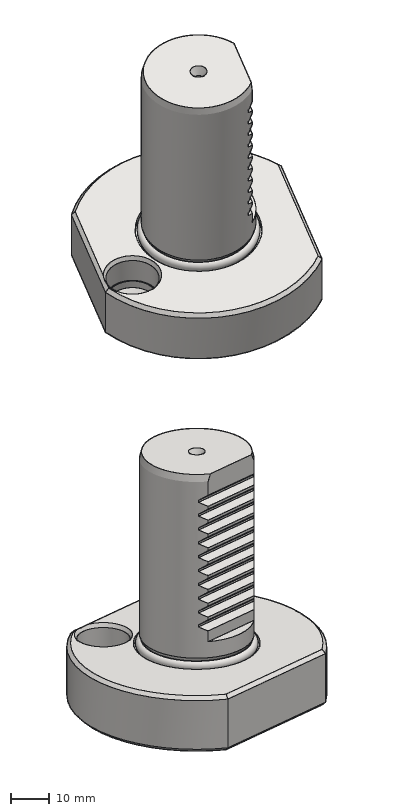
import cadquery as cq
import math

total_height = 71.0

flange_radius = 33.95
flange_height = 16.0
flange_chamfer = 1.0
back_flat_y = 28.05
front_flat_y = -29.95

shank_radius = 15.0
tip_chamfer_height = 2.0
tip_chamfer_width = tip_chamfer_height * math.tan(math.radians(15))
neck_radius = 14.6
neck_top_z = 17.55
shank_base_z = 18.45

groove_radius = 16.55
ring_section_radius = 1.4
groove_depth = ring_section_radius

rack_y = 12.0
rack_base_z = 23.1
notch_count = 10
notch_pitch = 4.0
top_notch_drop = 7.45
notch_depth = 1.6
notch_mouth = 3.2
notch_root = 0.6

pocket_x = 12.4
pocket_y = -21.6
pocket_radius = 6.95
pocket_depth = 8.0
pocket_lead_width = 0.65
pocket_lead_height = 1.15
pocket_end_radius = 6.7
pocket_end_depth = 10.3
pocket_tip_angle = 118

center_radius = 2.2
center_angle = 60
pilot_radius = 0.9
pilot_depth = 2.5
pilot_tip_angle = 118


def cone_depth(large_radius, small_radius, full_angle):
    """Height over which a cone of the given full angle narrows between two radii."""
    return (large_radius - small_radius) / math.tan(math.radians(full_angle / 2))


def revolved(profile):
    """Turn a closed (radius, z) profile about the Z axis."""
    return cq.Workplane("XZ").polyline(profile).close().revolve(360, (0, 0), (0, 1))


def make_flange():
    width_y = back_flat_y - front_flat_y
    flats = cq.Workplane("XY").box(2 * flange_radius, width_y, flange_height, centered=(True, True, False))
    flats = flats.translate((0, (back_flat_y + front_flat_y) / 2, 0))
    disc = cq.Workplane("XY").circle(flange_radius).extrude(flange_height).intersect(flats)
    disc = disc.faces("<Z or >Z").chamfer(flange_chamfer)
    groove = (
        cq.Workplane("XY")
        .workplane(offset=flange_height - groove_depth)
        .circle(groove_radius)
        .extrude(groove_depth)
    )
    return disc.cut(groove)


def make_shank():
    return revolved([
        (0, flange_height - groove_depth),
        (neck_radius, flange_height - groove_depth),
        (neck_radius, neck_top_z),
        (shank_radius, shank_base_z),
        (shank_radius, total_height - tip_chamfer_height),
        (shank_radius - tip_chamfer_width, total_height),
        (0, total_height),
    ])


def make_seal_ring():
    section = cq.Workplane("XZ").center(neck_radius, flange_height).circle(ring_section_radius)
    return section.revolve(360, (-neck_radius, 0), (-neck_radius, 1))


def make_rack_cutter():
    """Everything removed from the shank to leave the flat and its notches."""
    cutter = cq.Workplane("XY").box(
        2 * shank_radius, shank_radius, total_height - rack_base_z, centered=(True, False, False)
    ).translate((0, rack_y, rack_base_z))
    for index in range(notch_count):
        center_z = total_height - top_notch_drop - index * notch_pitch
        notch = (
            cq.Workplane("YZ")
            .polyline([
                (rack_y, center_z - notch_mouth / 2),
                (rack_y - notch_depth, center_z - notch_root / 2),
                (rack_y - notch_depth, center_z + notch_root / 2),
                (rack_y, center_z + notch_mouth / 2),
            ])
            .close()
            .extrude(shank_radius, both=True)
        )
        cutter = cutter.union(notch)
    return cutter


def make_pocket_cutter():
    step_z = flange_height - pocket_depth
    drilled_z = flange_height - pocket_end_depth
    cutter = revolved([
        (0, flange_height),
        (pocket_radius + pocket_lead_width, flange_height),
        (pocket_radius, flange_height - pocket_lead_height),
        (pocket_radius, step_z),
        (pocket_end_radius, step_z),
        (pocket_end_radius, drilled_z),
        (0, drilled_z - cone_depth(pocket_end_radius, 0, pocket_tip_angle)),
    ])
    return cutter.translate((pocket_x, pocket_y, 0))


def make_center_hole_cutter():
    sink_bottom_z = total_height - cone_depth(center_radius, pilot_radius, center_angle)
    pilot_bottom_z = sink_bottom_z - pilot_depth
    return revolved([
        (0, total_height),
        (center_radius, total_height),
        (pilot_radius, sink_bottom_z),
        (pilot_radius, pilot_bottom_z),
        (0, pilot_bottom_z - cone_depth(pilot_radius, 0, pilot_tip_angle)),
    ])


shank = make_shank().cut(make_rack_cutter()).cut(make_center_hole_cutter())
flange = make_flange().cut(make_pocket_cutter())
result = flange.union(shank).union(make_seal_ring())